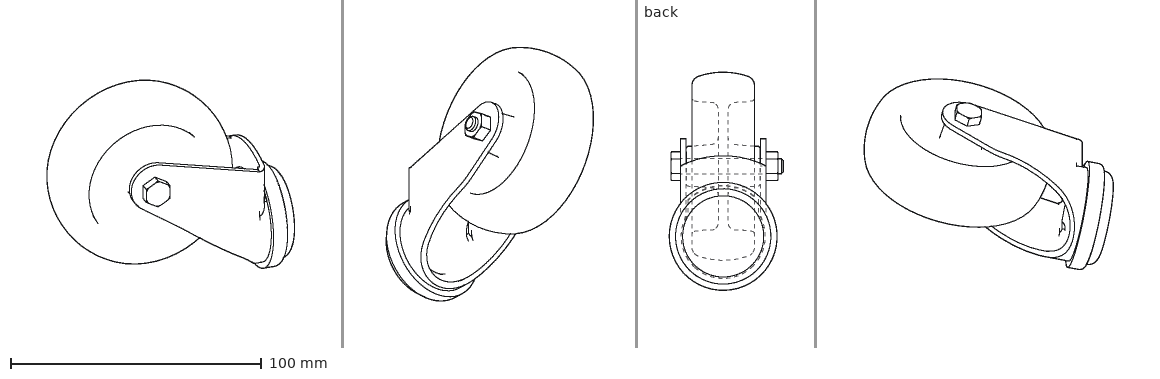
import cadquery as cq
import math


SWIVEL_Z = -28.0
HEAD_END_Y = 60.0

CAP_R = 19.0
CAP_FACE_R = 16.2
CAP_BAND = 0.6
CAP_HEIGHT = 4.4
FLANGE_R = 21.5
FLANGE_WIDTH = 6.6
FLANGE_FILLET = 2.0

DIMPLE_MOUTH_R = 15.2
DIMPLE_CONE_R = 11.6
DIMPLE_CONE_END_R = 10.4
DIMPLE_FLOOR_R = 7.5
DIMPLE_WALL_ANGLE = math.radians(75)

ARM_OUTER_X = 17.1
ARM_THICKNESS = 2.2
WEB_BACK_Y = 47.7
WEB_THICKNESS = 1.95
BEND_OUTER_R = 3.0
BEND_INNER_R = 0.8
CUP_FLOOR_Y = 47.1
CUP_FLOOR_FILLET = 0.4
CUP_MOUTH_ROLL = 3.3
ARM_BLEND_R = 10.0
WEB_TOP_Z = 4.2
ARM_EDGE_Z = 0.1
ARM_END_R = 10.0
ARM_END_Z = 1.0
LOWER_EDGE_Y = 36.8
LOWER_EDGE_Z = -36.6
LOWER_END_Y = 47.0

WHEEL_R = 37.5
WHEEL_WIDTH = 25.1
TREAD_CROWN_R = 30.0
SHOULDER_R = 4.0
RIM_FACE_R = 27.3
RIM_LIP_FILLET = 1.4
DISC_THICKNESS = 3.9
DISC_FILLET = 3.0
WALL_DRAFT = math.radians(4)
HUB_R = 8.0
HUB_FILLET = 1.0
HUB_GAP = 0.1

BOLT_R = 3.0
BOLT_END_X = -24.0
BOLT_CHAMFER = 0.8
NUT_HEIGHT = 4.9
HEAD_HEIGHT = 3.8
HEX_FLATS = 10.0
HEX_CORNER_CUT = 0.3

FLANGE_BACK_Y = HEAD_END_Y - CAP_HEIGHT - FLANGE_WIDTH
ARM_INNER_X = ARM_OUTER_X - ARM_THICKNESS
WEB_FRONT_Y = WEB_BACK_Y - WEB_THICKNESS
BEND_Y = WEB_BACK_Y - BEND_OUTER_R
CUP_INNER_R = CAP_R - ARM_THICKNESS
FRONT_LIMIT_Y = -2 * ARM_END_R
TOP_LIMIT_Z = 2 * ARM_END_R


def on_swivel_axis(y):
    """Sketch plane facing -Y, centred on the swivel axis; its local y is Z."""
    return cq.Workplane("XZ", origin=(0, y, SWIVEL_Z))


def along_x(x):
    """Sketch plane facing +X, centred on the wheel axis; its local axes are Y and Z."""
    return cq.Workplane("YZ", origin=(x, 0, 0))


def revolve_about_swivel(profile):
    """Revolve a closed profile of (radius, y) points about the swivel axis."""
    return profile.close().revolve(360, (0, 0, 0), (0, 1, 0)).translate((0, 0, SWIVEL_Z))


def swivel_head():
    cap_arc_x = CAP_R - CAP_FACE_R
    cap_arc_y = CAP_HEIGHT - CAP_BAND
    cap_arc_r = (cap_arc_x**2 + cap_arc_y**2) / (2 * cap_arc_x)
    cap_base_y = HEAD_END_Y - CAP_HEIGHT
    profile = (
        cq.Workplane("XY")
        .moveTo(0, FLANGE_BACK_Y)
        .lineTo(FLANGE_R, FLANGE_BACK_Y)
        .lineTo(FLANGE_R, cap_base_y - FLANGE_FILLET)
        .radiusArc((FLANGE_R - FLANGE_FILLET, cap_base_y), -FLANGE_FILLET)
        .lineTo(CAP_R, cap_base_y)
        .lineTo(CAP_R, cap_base_y + CAP_BAND)
        .radiusArc((CAP_FACE_R, HEAD_END_Y), -cap_arc_r)
        .lineTo(0, HEAD_END_Y)
    )
    return revolve_about_swivel(profile)


def head_dimple():
    """Rounded mouth, conical wall and rounded floor, sunk into the head from the cup."""
    sin_wall = math.sin(DIMPLE_WALL_ANGLE)
    cos_wall = math.cos(DIMPLE_WALL_ANGLE)
    mouth_r = (DIMPLE_MOUTH_R - DIMPLE_CONE_R) / sin_wall
    floor_r = (DIMPLE_CONE_END_R - DIMPLE_FLOOR_R) / sin_wall
    cone_y = CUP_FLOOR_Y + mouth_r * (1 - cos_wall)
    cone_end_y = cone_y + (DIMPLE_CONE_R - DIMPLE_CONE_END_R) * math.tan(DIMPLE_WALL_ANGLE)
    floor_y = cone_end_y + floor_r * (1 - cos_wall)
    profile = (
        cq.Workplane("XY")
        .moveTo(0, CUP_FLOOR_Y)
        .lineTo(DIMPLE_MOUTH_R, CUP_FLOOR_Y)
        .radiusArc((DIMPLE_CONE_R, cone_y), mouth_r)
        .lineTo(DIMPLE_CONE_END_R, cone_end_y)
        .radiusArc((DIMPLE_FLOOR_R, floor_y), -floor_r)
        .lineTo(0, floor_y)
    )
    return revolve_about_swivel(profile)


def blend_ends(half_width, cup_r, blend_r):
    """Where a flank blend meets the channel side and the cup, as (x, z) from the swivel axis."""
    blend_x = half_width + blend_r
    blend_z = math.sqrt((cup_r + blend_r) ** 2 - blend_x**2)
    tangent = cup_r / (cup_r + blend_r)
    return (half_width, blend_z), (blend_x * tangent, blend_z * tangent)


def keyhole(half_width, cup_r, blend_r, back_y):
    """Round cup running into a straight channel above it, with blended flanks, along Y."""
    side_end, cup_end = blend_ends(half_width, cup_r, blend_r)
    top = TOP_LIMIT_Z - SWIVEL_Z
    return (
        on_swivel_axis(back_y)
        .moveTo(-half_width, top)
        .lineTo(half_width, top)
        .lineTo(*side_end)
        .radiusArc(cup_end, -blend_r)
        .threePointArc((0, -cup_r), (-cup_end[0], cup_end[1]))
        .radiusArc((-side_end[0], side_end[1]), -blend_r)
        .close()
        .extrude(back_y - FRONT_LIMIT_Y)
    )


def channel(half_width, back_y, bend_r):
    """Upright U-channel block with rounded bends, from the swivel axis upward."""
    return (
        cq.Workplane("XY", origin=(0, 0, SWIVEL_Z))
        .moveTo(-half_width, FRONT_LIMIT_Y)
        .lineTo(half_width, FRONT_LIMIT_Y)
        .lineTo(half_width, back_y - bend_r)
        .radiusArc((half_width - bend_r, back_y), -bend_r)
        .lineTo(bend_r - half_width, back_y)
        .radiusArc((-half_width, back_y - bend_r), -bend_r)
        .close()
        .extrude(TOP_LIMIT_Z - SWIVEL_Z)
    )


def fork_shape(half_width, cup_r, blend_r, web_y, bend_r, cup):
    """Solid envelope of one side of the fork's sheet, either outside or inside."""
    flanks = keyhole(half_width, cup_r, blend_r, web_y - bend_r)
    upright = channel(half_width, web_y, bend_r)
    return flanks.union(upright).union(cup)


def cup_cylinder(radius, back_y):
    return on_swivel_axis(back_y).circle(radius).extrude(back_y - FRONT_LIMIT_Y)


def lower_tangent_angle():
    """Direction, seen from the arm end's centre, in which the straight lower edge touches it."""
    edge_z = LOWER_EDGE_Z - ARM_END_Z
    distance = math.hypot(LOWER_EDGE_Y, edge_z)
    return math.atan2(edge_z, LOWER_EDGE_Y) - math.acos(ARM_END_R / distance)


def side_outline():
    """Outline of the fork in the YZ plane, as a block across the whole width."""
    edge_z = ARM_EDGE_Z - ARM_END_Z
    upper = math.atan2(edge_z, BEND_Y) + math.acos(ARM_END_R / math.hypot(BEND_Y, edge_z))
    lower = lower_tangent_angle()

    def on_arm_end(angle):
        return (ARM_END_R * math.cos(angle), ARM_END_Z + ARM_END_R * math.sin(angle))

    return (
        along_x(-FLANGE_R)
        .moveTo(BEND_Y, ARM_EDGE_Z)
        .lineTo(*on_arm_end(upper))
        .threePointArc((-ARM_END_R, ARM_END_Z), on_arm_end(lower))
        .lineTo(LOWER_EDGE_Y, LOWER_EDGE_Z)
        .tangentArcPoint((LOWER_END_Y, SWIVEL_Z - CAP_R), relative=False)
        .lineTo(FLANGE_BACK_Y, SWIVEL_Z - CAP_R)
        .lineTo(FLANGE_BACK_Y, TOP_LIMIT_Z)
        .lineTo(BEND_Y, TOP_LIMIT_Z)
        .close()
        .extrude(2 * FLANGE_R)
    )


def above_swivel(half_width):
    """Block above the swivel axis, used to keep a ring only where the web is flat."""
    return (
        cq.Workplane("XY", origin=(0, 0, SWIVEL_Z))
        .rect(2 * half_width, 2 * HEAD_END_Y)
        .extrude(2 * CAP_R)
    )


def neck_blend():
    """Concave blend from the back of the web onto the round neck under the flange."""
    radius = FLANGE_BACK_Y - WEB_BACK_Y
    profile = (
        cq.Workplane("XY")
        .moveTo(CUP_INNER_R, WEB_BACK_Y)
        .lineTo(CAP_R + radius, WEB_BACK_Y)
        .radiusArc((CAP_R, FLANGE_BACK_Y), -radius)
        .lineTo(CUP_INNER_R, FLANGE_BACK_Y)
    )
    return revolve_about_swivel(profile).intersect(above_swivel(ARM_OUTER_X - BEND_OUTER_R))


def cup_mouth_roll():
    """Rounded edge, as a cut, where the front of the web turns into the cup."""
    depth = CUP_FLOOR_Y - WEB_FRONT_Y
    web_r = CUP_INNER_R + CUP_MOUTH_ROLL
    floor_r = web_r - math.sqrt(CUP_MOUTH_ROLL**2 - (CUP_MOUTH_ROLL - depth) ** 2)
    profile = (
        cq.Workplane("XY")
        .moveTo(0, WEB_FRONT_Y)
        .lineTo(web_r, WEB_FRONT_Y)
        .radiusArc((floor_r, CUP_FLOOR_Y), -CUP_MOUTH_ROLL)
        .lineTo(0, CUP_FLOOR_Y)
    )
    return revolve_about_swivel(profile).intersect(above_swivel(ARM_INNER_X - BEND_INNER_R))


def web_arch():
    """Block under the arched top edge of the web; it leaves the arms in front untouched."""
    arch = (
        cq.Workplane("XZ", origin=(0, FLANGE_BACK_Y, 0))
        .moveTo(-ARM_OUTER_X, ARM_EDGE_Z)
        .threePointArc((0, WEB_TOP_Z), (ARM_OUTER_X, ARM_EDGE_Z))
        .lineTo(FLANGE_R, ARM_EDGE_Z)
        .lineTo(FLANGE_R, SWIVEL_Z - CAP_R)
        .lineTo(-FLANGE_R, SWIVEL_Z - CAP_R)
        .lineTo(-FLANGE_R, ARM_EDGE_Z)
        .close()
        .extrude(FLANGE_BACK_Y - BEND_Y)
    )
    arms = (
        cq.Workplane("XZ", origin=(0, BEND_Y, SWIVEL_Z))
        .rect(2 * FLANGE_R, 2 * (TOP_LIMIT_Z - SWIVEL_Z))
        .extrude(BEND_Y - FRONT_LIMIT_Y)
    )
    return arch.union(arms)


def make_fork():
    outside = fork_shape(
        ARM_OUTER_X, CAP_R, ARM_BLEND_R, WEB_BACK_Y, BEND_OUTER_R, cup_cylinder(CAP_R, FLANGE_BACK_Y)
    )
    cavity = fork_shape(
        ARM_INNER_X,
        CUP_INNER_R,
        ARM_BLEND_R + ARM_THICKNESS,
        WEB_FRONT_Y,
        BEND_INNER_R,
        cup_cylinder(CUP_INNER_R, CUP_FLOOR_Y).faces(">Y").edges().fillet(CUP_FLOOR_FILLET),
    )
    sheet = outside.intersect(side_outline()).intersect(web_arch()).union(neck_blend())
    sheet = sheet.cut(cavity).cut(cup_mouth_roll())
    axle_hole = along_x(-ARM_OUTER_X).circle(BOLT_R).extrude(2 * ARM_OUTER_X)
    return sheet.union(swivel_head()).cut(head_dimple()).cut(axle_hole)


def make_wheel():
    face_x = WHEEL_WIDTH / 2
    disc_x = DISC_THICKNESS / 2
    hub_x = ARM_INNER_X - HUB_GAP
    slope = math.tan(WALL_DRAFT)
    sin_draft = math.sin(WALL_DRAFT)
    cos_draft = math.cos(WALL_DRAFT)

    wall_foot_x = disc_x + DISC_FILLET * (1 - sin_draft)
    hub_foot_r = HUB_R + slope * (hub_x - HUB_FILLET - wall_foot_x)
    rim_top_x = face_x - RIM_LIP_FILLET * (1 - sin_draft)
    rim_top_r = RIM_FACE_R - RIM_LIP_FILLET * cos_draft
    rim_foot_r = rim_top_r - slope * (rim_top_x - wall_foot_x)
    disc_inner_r = hub_foot_r + DISC_FILLET * cos_draft
    disc_outer_r = rim_foot_r - DISC_FILLET * cos_draft

    shoulder_x = face_x - SHOULDER_R
    crown_centre = WHEEL_R - TREAD_CROWN_R
    tilt = math.asin(shoulder_x / (TREAD_CROWN_R - SHOULDER_R))
    shoulder_r = crown_centre + (TREAD_CROWN_R - SHOULDER_R) * math.cos(tilt)
    tread_x = TREAD_CROWN_R * math.sin(tilt)
    tread_r = crown_centre + TREAD_CROWN_R * math.cos(tilt)

    return (
        cq.Workplane("XY")
        .moveTo(-hub_x, BOLT_R)
        .lineTo(hub_x, BOLT_R)
        .lineTo(hub_x, HUB_R - HUB_FILLET)
        .radiusArc((hub_x - HUB_FILLET, HUB_R), -HUB_FILLET)
        .lineTo(wall_foot_x, hub_foot_r)
        .radiusArc((disc_x, disc_inner_r), DISC_FILLET)
        .lineTo(disc_x, disc_outer_r)
        .radiusArc((wall_foot_x, rim_foot_r), DISC_FILLET)
        .lineTo(rim_top_x, rim_top_r)
        .radiusArc((face_x, RIM_FACE_R), -RIM_LIP_FILLET)
        .lineTo(face_x, shoulder_r)
        .radiusArc((tread_x, tread_r), -SHOULDER_R)
        .threePointArc((0, WHEEL_R), (-tread_x, tread_r))
        .radiusArc((-face_x, shoulder_r), -SHOULDER_R)
        .lineTo(-face_x, RIM_FACE_R)
        .radiusArc((-rim_top_x, rim_top_r), -RIM_LIP_FILLET)
        .lineTo(-wall_foot_x, rim_foot_r)
        .radiusArc((-disc_x, disc_outer_r), DISC_FILLET)
        .lineTo(-disc_x, disc_inner_r)
        .radiusArc((-wall_foot_x, hub_foot_r), DISC_FILLET)
        .lineTo(HUB_FILLET - hub_x, HUB_R)
        .radiusArc((-hub_x, HUB_R - HUB_FILLET), -HUB_FILLET)
        .close()
        .revolve(360, (0, 0, 0), (1, 0, 0))
    )


def hexagon(height):
    """Hexagon with corners up and down, standing on x = 0, its far corners trimmed by a cone."""
    corner_r = HEX_FLATS / math.sqrt(3)
    trim = along_x(0).circle(corner_r).extrude(height)
    trim = trim.faces(">X").chamfer(HEX_CORNER_CUT, HEX_CORNER_CUT * math.sqrt(3))
    prism = along_x(0).polygon(6, 2 * corner_r).extrude(height)
    return prism.rotate((0, 0, 0), (1, 0, 0), 30).intersect(trim)


def make_bolt():
    shank = along_x(BOLT_END_X).circle(BOLT_R).extrude(ARM_OUTER_X - BOLT_END_X)
    shank = shank.faces("<X").chamfer(BOLT_CHAMFER)
    head = hexagon(HEAD_HEIGHT).translate((ARM_OUTER_X, 0, 0))
    nut = hexagon(NUT_HEIGHT).mirror("YZ").translate((-ARM_OUTER_X, 0, 0))
    return shank.union(head).union(nut)


fork = make_fork()
wheel = make_wheel()
axle_bolt = make_bolt()

result = cq.Compound.makeCompound(
    [fork.solids().val(), wheel.solids().val(), axle_bolt.solids().val()]
)